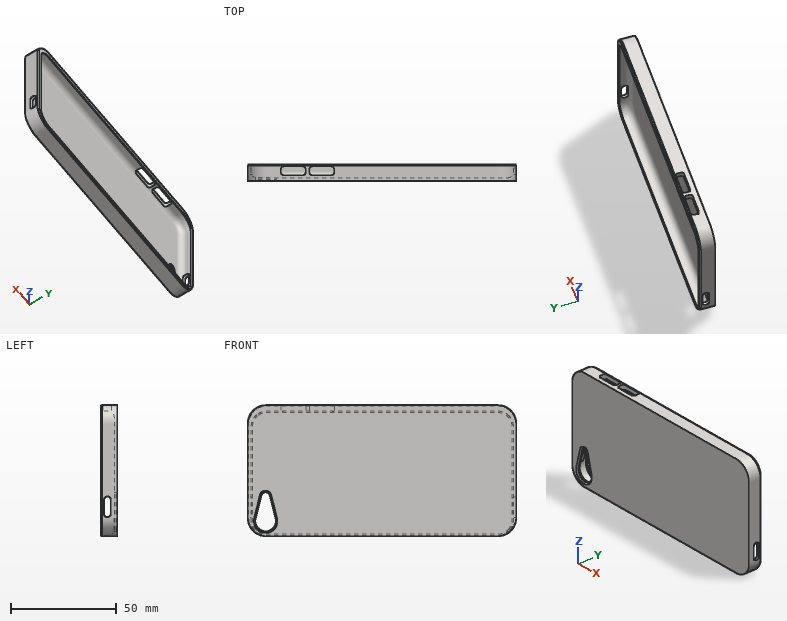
import cadquery as cq

length = 126.9
depth = 7.9
height = 62.0
corner_radius = 8.9

rim_depth = 0.8
rim_inset = 0.4

end_wall = 1.5
bottom_wall = 0.5
top_wall = 2.8
floor = 1.5
cavity_round = 3.0
lip = 0.6
cavity_corner_radius = corner_radius - end_wall

window_x = 8.5
window_low_z = 7.2
window_high_z = 18.8
window_low_radius = 4.8
window_high_radius = 2.0
window_chamfer = 0.8

button_starts = (15.7, 29.2)
button_length = 11.7
button_low_y = 2.8
button_high_y = 6.9
button_corner = 1.3

end_slot_low_z = 9.1
end_slot_high_z = 18.8
end_slot_y = 4.7
end_slot_width = 3.2


def rounded_prism(low_x, high_x, low_z, high_z, radius, start_y, end_y):
    """Prism along Y with a rounded rectangle as its outline."""
    return (
        cq.Workplane("XZ", origin=((low_x + high_x) / 2, start_y, (low_z + high_z) / 2))
        .rect(high_x - low_x, high_z - low_z)
        .extrude(start_y - end_y)
        .edges("|Y")
        .fillet(radius)
    )


def make_shell():
    outer = rounded_prism(0, length, 0, height, corner_radius, 0, depth)
    outer = outer.faces(">Y").chamfer(rim_depth, rim_inset)
    cavity = rounded_prism(
        end_wall,
        length - end_wall,
        bottom_wall,
        height - top_wall,
        cavity_corner_radius,
        floor,
        depth,
    )
    cavity = cavity.faces("<Y").edges().fillet(cavity_round)
    cavity = cavity.faces(">Y").chamfer(lip)
    return outer.cut(cavity)


def teardrop_outline(offset):
    """Outline of two circles joined by their common tangents, grown by offset."""
    low_radius = window_low_radius + offset
    high_radius = window_high_radius + offset
    sine = (low_radius - high_radius) / (window_high_z - window_low_z)
    cosine = (1 - sine**2) ** 0.5

    def tangent_point(side, center_z, radius):
        return (window_x + side * radius * cosine, center_z + radius * sine)

    return (
        cq.Workplane("XZ")
        .moveTo(*tangent_point(-1, window_low_z, low_radius))
        .threePointArc(
            (window_x, window_low_z - low_radius),
            tangent_point(1, window_low_z, low_radius),
        )
        .lineTo(*tangent_point(1, window_high_z, high_radius))
        .threePointArc(
            (window_x, window_high_z + high_radius),
            tangent_point(-1, window_high_z, high_radius),
        )
        .close()
    )


def make_window():
    """Through cutter, widened to a chamfer where it meets the back face."""
    cutter = teardrop_outline(window_chamfer).extrude(-window_chamfer, taper=45)
    return cutter.union(teardrop_outline(0).extrude(-(floor + cavity_round)))


def make_button_slot(start_x):
    return (
        cq.Workplane("XY", origin=(start_x, button_low_y, height / 2))
        .rect(button_length, button_high_y - button_low_y, centered=False)
        .extrude(height)
        .edges("|Z")
        .fillet(button_corner)
    )


def make_end_slots():
    return (
        cq.Workplane("YZ", origin=(0, end_slot_y, (end_slot_low_z + end_slot_high_z) / 2))
        .slot2D(end_slot_high_z - end_slot_low_z, end_slot_width, 90)
        .extrude(length)
    )


result = make_shell().cut(make_window()).cut(make_end_slots())
for button_start in button_starts:
    result = result.cut(make_button_slot(button_start))